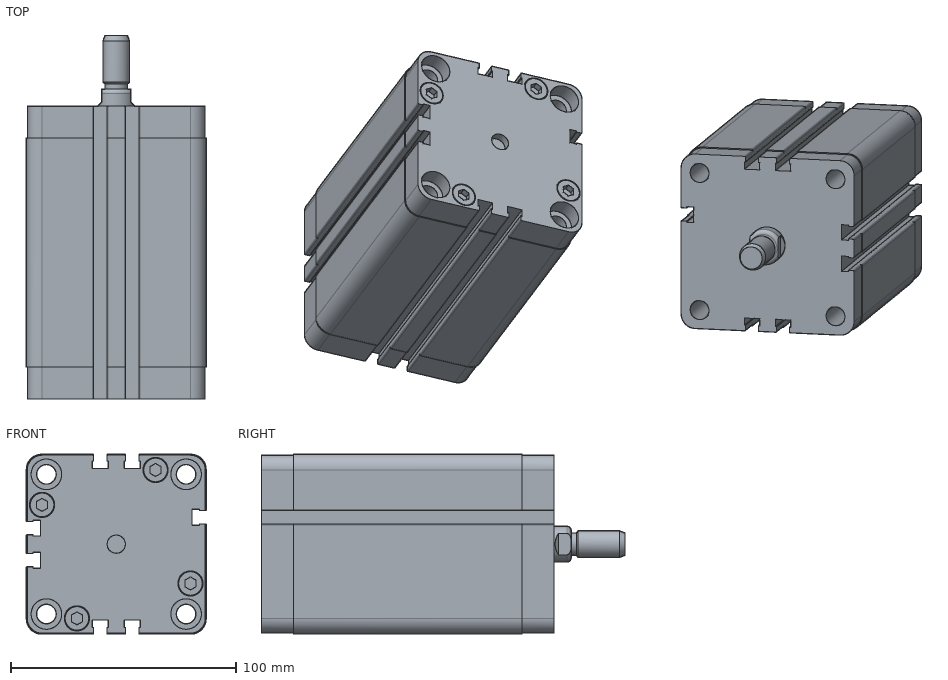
import cadquery as cq
import math

total_length = 161.5
rod_reach = 31.5
housing_length = total_length - rod_reach
cap_length = 14.2

barrel_width = 80.0
barrel_corner = 7.0
cap_inset = 0.5

groove_depth = 6.3
groove_width = 7.0
mouth_width = 5.8
lip_thickness = 3.0
mouth_rounding = 0.5
groove_pair_offset = 7.1
side_groove_height = 12.0

mount_offset = 31.0
mount_diameter = 8.5
mount_bore_diameter = 13.5
mount_bore_depth = 8.0

screw_near = 17.5
screw_far = 33.0
screw_recess_diameter = 11.1
screw_head_diameter = 10.5
screw_gap_depth = 4.8
hex_flats = 5.0
hex_depth = 3.2

center_hole_diameter = 8.0
center_hole_depth = 4.0

rod_diameter = 16.0
rod_rounding = 2.0
flats_width = 13.0
flat_standoff = 2.0
thread_diameter = 12.0
thread_root_diameter = 10.0
thread_length = 21.6
tip_chamfer_length = 2.6
thread_runout = 0.8
neck_length = 2.3


def front_plane(y):
    """Plane at the given y whose local x, y are global X, Z and whose normal is -Y."""
    return cq.Workplane("XZ", origin=(0, y, 0))


def rounded_square(width, corner, start, end):
    prism = front_plane(start).rect(width, width).extrude(start - end)
    return prism.edges("|Y").fillet(corner)


def groove(offset, angle, surface, start, end):
    """T-groove with a rounded mouth, cut into the +Z side at height surface and turned about Y."""
    floor = barrel_width / 2 - groove_depth
    lip = barrel_width / 2 - lip_thickness
    throat = mouth_width / 2
    channel = groove_width / 2
    brink = throat + mouth_rounding
    round_start = surface - mouth_rounding
    arc_x = brink - mouth_rounding * math.cos(math.pi / 4)
    arc_z = round_start + mouth_rounding * math.sin(math.pi / 4)
    outline = (
        front_plane(start)
        .center(offset, 0)
        .moveTo(-channel, floor)
        .lineTo(channel, floor)
        .lineTo(channel, lip)
        .lineTo(throat, lip)
        .lineTo(throat, round_start)
        .threePointArc((arc_x, arc_z), (brink, surface))
        .lineTo(-brink, surface)
        .threePointArc((-arc_x, arc_z), (-throat, round_start))
        .lineTo(-throat, lip)
        .lineTo(-channel, lip)
        .close()
    )
    return outline.extrude(start - end).rotate((0, 0, 0), (0, 1, 0), angle)


def make_section(width, corner, start, end):
    """Length of housing with its sensor grooves: pairs on three sides, a single one on +X."""
    section = rounded_square(width, corner, start, end)
    for angle in (0, 180, 270):
        for side in (-1, 1):
            section = section.cut(groove(side * groove_pair_offset, angle, width / 2, start, end))
    return section.cut(groove(-side_groove_height, 90, width / 2, start, end))


def make_housing():
    cap_width = barrel_width - 2 * cap_inset
    cap_corner = barrel_corner - cap_inset
    barrel_end = housing_length - cap_length
    barrel = make_section(barrel_width, barrel_corner, cap_length, barrel_end)
    front_cap = make_section(cap_width, cap_corner, 0, cap_length)
    rear_cap = make_section(cap_width, cap_corner, barrel_end, housing_length)
    return barrel.union(front_cap).union(rear_cap)


def cut_mount_holes(body):
    pitch = 2 * mount_offset
    holes = front_plane(0).rarray(pitch, pitch, 2, 2).circle(mount_diameter / 2)
    bores = front_plane(0).rarray(pitch, pitch, 2, 2).circle(mount_bore_diameter / 2)
    return body.cut(holes.extrude(-housing_length)).cut(bores.extrude(-mount_bore_depth))


def cut_screws(body):
    """Cut the ring gap around each flush screw head, and its hexagon socket."""
    places = [
        (screw_near, screw_far),
        (-screw_far, screw_near),
        (-screw_near, -screw_far),
        (screw_far, -screw_near),
    ]
    hex_corners = hex_flats / math.cos(math.pi / 6)
    for x, z in places:
        recess = front_plane(0).center(x, z).circle(screw_recess_diameter / 2)
        gap = recess.circle(screw_head_diameter / 2)
        socket = front_plane(0).center(x, z).transformed(rotate=(0, 0, 30)).polygon(6, hex_corners)
        body = body.cut(gap.extrude(-screw_gap_depth)).cut(socket.extrude(-hex_depth))
    return body


def make_rod():
    rod = rod_diameter / 2
    thread = thread_diameter / 2
    root = thread_root_diameter / 2
    thread_start = total_length - thread_length
    rod_end = thread_start - neck_length
    shoulder = rod - rod_rounding
    round_start = rod_end - rod_rounding
    round_middle = rod_rounding * math.sin(math.pi / 4)
    profile = (
        cq.Workplane("XY")
        .moveTo(0, housing_length - cap_length)
        .lineTo(rod, housing_length - cap_length)
        .lineTo(rod, round_start)
        .threePointArc((shoulder + round_middle, round_start + round_middle), (shoulder, rod_end))
        .lineTo(root, rod_end)
        .lineTo(root, thread_start)
        .lineTo(thread, thread_start + thread_runout)
        .lineTo(thread, total_length - tip_chamfer_length)
        .lineTo(root, total_length)
        .lineTo(0, total_length)
        .close()
    )
    shaft = profile.revolve(360, (0, 0, 0), (0, 1, 0))

    flat = flats_width / 2
    flat_start = housing_length + flat_standoff
    slope = 2 * (rod - flat)
    for side in (-1, 1):
        cutter_outline = [
            (side * flat, flat_start),
            (side * flat, rod_end),
            (side * (flat + slope), rod_end),
            (side * (flat + slope), flat_start - slope),
        ]
        cutter = cq.Workplane("XY").polyline(cutter_outline).close().extrude(rod, both=True)
        shaft = shaft.cut(cutter)
    return shaft


housing = cut_screws(cut_mount_holes(make_housing()))
center_hole = front_plane(0).circle(center_hole_diameter / 2).extrude(-center_hole_depth)
result = housing.cut(center_hole).union(make_rod())